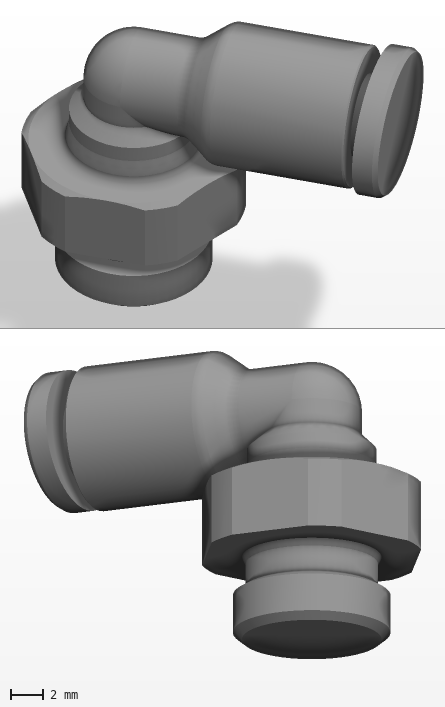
import cadquery as cq
import math


overall_length = 24.1

end_chamfer_top = 0.45
thread_top = 2.82
relief_bottom = 3.28
relief_top = 4.85
nut_bottom = 5.28
nut_chamfer_start = 9.59
nut_top = 9.83
neck_step = 11.15
shoulder_bottom = 12.17
socket_axis_z = 14.6

thread_radius = 9.73 / 2
thread_end_radius = 4.31
relief_radius = 8.2 / 2
relief_flare_radius = 4.31
neck_radius = 8.0 / 2
neck_base_radius = 4.22
neck_fillet = 0.3
elbow_radius = 3.1

across_flats = 13.0
nut_corner_radius = 6.99
nut_face_radius = across_flats / 2

flare_start = 3.64
flare_end = 6.15
body_end = 14.67
stem_flare_start = 15.35
collar_start = 15.51
collar_chamfer_length = 0.31
fitting_end = overall_length - nut_corner_radius

body_radius = 9.0 / 2
body_end_chamfer = 0.1
flare_blend_radius = 1.0
stem_radius = 5.5 / 2
stem_flare = 0.05

collar_half_width = 5.4
collar_half_height = 4.3
collar_edge_inset = 0.22


def make_stud():
    """Threaded end, relief groove, neck and conical shoulder, turned about Z."""
    shoulder_top = shoulder_bottom + neck_radius - elbow_radius
    fillet_centre_r = neck_base_radius + neck_fillet
    fillet_centre_z = nut_top + neck_fillet
    fillet_reach = neck_fillet * math.sqrt(0.5)
    return (
        cq.Workplane("XZ")
        .moveTo(0, 0)
        .lineTo(thread_end_radius, 0)
        .lineTo(thread_radius, end_chamfer_top)
        .lineTo(thread_radius, thread_top)
        .lineTo(relief_radius, relief_bottom)
        .lineTo(relief_radius, relief_top)
        .lineTo(relief_flare_radius, nut_bottom)
        .lineTo(fillet_centre_r, nut_bottom)
        .lineTo(fillet_centre_r, nut_top)
        .threePointArc(
            (fillet_centre_r - fillet_reach, fillet_centre_z - fillet_reach),
            (neck_base_radius, fillet_centre_z),
        )
        .lineTo(neck_radius, neck_step)
        .lineTo(neck_radius, shoulder_bottom)
        .lineTo(elbow_radius, shoulder_top)
        .lineTo(elbow_radius, socket_axis_z)
        .lineTo(0, socket_axis_z)
        .close()
        .revolve(360, (0, 0, 0), (0, 1, 0))
    )


def make_nut():
    """Hexagon with flats facing +/-Y, turned down at the corners and chamfered on top."""
    corner_to_corner = across_flats / math.cos(math.pi / 6)
    hexagon = (
        cq.Workplane("XY", origin=(0, 0, nut_bottom))
        .polygon(6, corner_to_corner)
        .extrude(nut_top - nut_bottom)
    )
    turned_blank = (
        cq.Workplane("XZ")
        .moveTo(0, nut_bottom)
        .lineTo(nut_corner_radius, nut_bottom)
        .lineTo(nut_corner_radius, nut_chamfer_start)
        .lineTo(nut_face_radius, nut_top)
        .lineTo(0, nut_top)
        .close()
        .revolve(360, (0, 0, 0), (0, 1, 0))
    )
    return hexagon.intersect(turned_blank)


def make_socket():
    """Horizontal arm, S-blended flare, cylindrical body and stem, turned about X."""
    length = flare_end - flare_start
    rise = body_radius - elbow_radius
    span = math.hypot(length, rise - 2 * flare_blend_radius)
    lean = math.atan2(2 * flare_blend_radius - rise, length)
    angle = math.asin(2 * flare_blend_radius / span) - lean

    def blend_offset(turn):
        return (
            flare_blend_radius * math.sin(turn),
            flare_blend_radius * (1 - math.cos(turn)),
        )

    mid_x, mid_r = blend_offset(angle / 2)
    tangent_x, tangent_r = blend_offset(angle)
    return (
        cq.Workplane("XZ", origin=(0, 0, socket_axis_z))
        .moveTo(0, 0)
        .lineTo(0, elbow_radius)
        .lineTo(flare_start, elbow_radius)
        .threePointArc(
            (flare_start + mid_x, elbow_radius + mid_r),
            (flare_start + tangent_x, elbow_radius + tangent_r),
        )
        .lineTo(flare_end - tangent_x, body_radius - tangent_r)
        .threePointArc(
            (flare_end - mid_x, body_radius - mid_r),
            (flare_end, body_radius),
        )
        .lineTo(body_end - body_end_chamfer, body_radius)
        .lineTo(body_end, body_radius - body_end_chamfer)
        .lineTo(body_end, stem_radius)
        .lineTo(stem_flare_start, stem_radius)
        .lineTo(collar_start, stem_radius + stem_flare)
        .lineTo(collar_start, 0)
        .close()
        .revolve(360, (0, 0, 0), (1, 0, 0))
    )


def make_collar():
    """Elliptical release collar, wider in Y than in Z, with a bevelled outer edge."""
    bevel_start = fitting_end - collar_chamfer_length
    plate = (
        cq.Workplane("YZ", origin=(collar_start, 0, socket_axis_z))
        .ellipse(collar_half_width, collar_half_height)
        .extrude(bevel_start - collar_start)
    )
    bevel = (
        cq.Workplane("YZ", origin=(bevel_start, 0, socket_axis_z))
        .ellipse(collar_half_width, collar_half_height)
        .workplane(offset=collar_chamfer_length)
        .ellipse(
            collar_half_width - collar_edge_inset,
            collar_half_height - collar_edge_inset,
        )
        .loft(ruled=True)
    )
    return plate.union(bevel)


elbow_ball = cq.Workplane("XY", origin=(0, 0, socket_axis_z)).sphere(elbow_radius)

result = (
    make_stud()
    .union(make_nut())
    .union(elbow_ball)
    .union(make_socket())
    .union(make_collar())
)